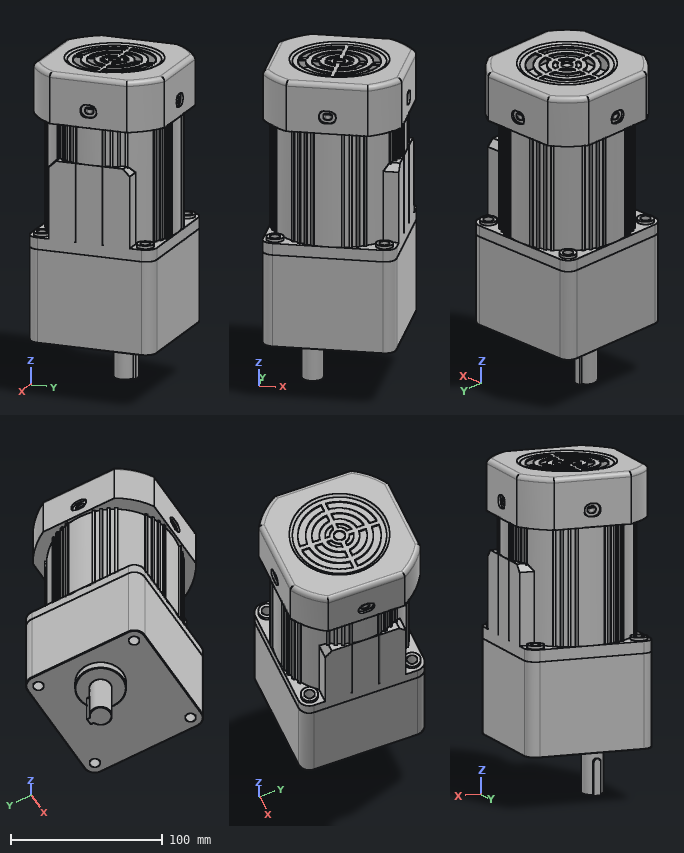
import cadquery as cq

total_height = 226.0
pilot_bottom = 31.0
gearbox_bottom = 37.0
flange_bottom = 102.0
flange_top = 110.0
cover_bottom = 190.5

frame_width = 90.0
frame_corner_radius = 8.0
edge_chamfer = 0.5
bolt_spacing = 73.5
bolt_hole_diameter = 7.0
bolt_pad_diameter = 11.5
bolt_pad_height = 2.0

shaft_offset = -18.0
shaft_diameter = 15.0
pilot_diameter = 34.0
key_width = 5.0
key_length = 25.0
key_reach = 9.0

barrel_radius = frame_width / 2
rib_height = 1.1
rib_width = 1.8
rib_pitch_angle = 6.3
ribs_per_group = 4
rib_groups = 8
group_pitch_angle = 360 / rib_groups

box_width = 57.9
box_top = 164.5
box_chamfer = 4.7

cover_width = 93.0
cover_corner_radius = 54.0
cover_fillet = 3.5
cover_wall = 2.7
cavity_floor = 203.0
recess_top_radius = 33.2
recess_floor_radius = 31.2
recess_depth = 1.1
grille_rings = [(6.5, 9.5), (13.3, 18.3), (22.4, 27.5)]
grille_hub_radius = 3.8
grille_spoke_width = 3.5
grille_thickness = 1.0
grille_bottom = total_height - recess_depth - grille_thickness

screw_height = 202.0
recess_slot_length = 11.5
recess_slot_width = 8.8
recess_slot_depth = 1.5
screw_slot_length = 6.0
screw_slot_width = 4.7
screw_slot_depth = 0.5
screw_tip_radius = 1.7
screw_tip_depth = 0.5


def square_frame(bottom, top):
    """Upright square block with rounded corners."""
    return (
        cq.Workplane("XY", origin=(0, 0, bottom))
        .rect(frame_width, frame_width)
        .extrude(top - bottom)
        .edges("|Z")
        .fillet(frame_corner_radius)
    )


def bolt_cylinders(diameter, bottom, top):
    """Four cylinders on the bolt pattern of the frame."""
    return (
        cq.Workplane("XY", origin=(0, 0, bottom))
        .rect(bolt_spacing, bolt_spacing, forConstruction=True)
        .vertices()
        .circle(diameter / 2)
        .extrude(top - bottom)
    )


def output_cylinder(diameter, bottom, top):
    """Cylinder on the output axis with its lower rim chamfered."""
    return (
        cq.Workplane("XY", origin=(shaft_offset, 0, bottom))
        .circle(diameter / 2)
        .extrude(top - bottom)
        .faces("<Z")
        .chamfer(edge_chamfer)
    )


def shaft_key():
    """Key on the +Y side of the shaft, round at its upper end."""
    straight_length = key_length - key_width / 2
    return (
        cq.Workplane("XZ", origin=(shaft_offset, 0, 0))
        .moveTo(-key_width / 2, 0)
        .lineTo(key_width / 2, 0)
        .lineTo(key_width / 2, straight_length)
        .threePointArc((0, key_length), (-key_width / 2, straight_length))
        .close()
        .extrude(-key_reach)
    )


def make_gearbox():
    """Gearbox with its pilot boss, output shaft and key."""
    body = square_frame(gearbox_bottom, flange_bottom).faces("<Z").chamfer(edge_chamfer)
    body = body.cut(bolt_cylinders(bolt_hole_diameter, gearbox_bottom, flange_bottom))
    body = body.union(output_cylinder(pilot_diameter, pilot_bottom, gearbox_bottom))
    body = body.union(output_cylinder(shaft_diameter, 0, pilot_bottom))
    return body.union(shaft_key())


def barrel_rib(angle):
    """One lengthwise rib on the barrel at the given angle."""
    rib_top_radius = barrel_radius + rib_height
    return (
        cq.Workplane("XY", origin=(0, 0, flange_top))
        .center(rib_top_radius / 2, 0)
        .rect(rib_top_radius, rib_width)
        .extrude(cover_bottom - flange_top)
        .rotate((0, 0, 0), (0, 0, 1), angle)
    )


def ribbed_barrel():
    """Round motor barrel with groups of ribs between plain arcs."""
    barrel = (
        cq.Workplane("XY", origin=(0, 0, flange_top))
        .circle(barrel_radius)
        .extrude(cover_bottom - flange_top)
    )
    for group in range(rib_groups):
        group_angle = (group + 0.5) * group_pitch_angle
        for index in range(ribs_per_group):
            step = index - (ribs_per_group - 1) / 2
            barrel = barrel.union(barrel_rib(group_angle + step * rib_pitch_angle))
    return barrel


def terminal_box():
    """Box from the motor axis to the +X side, its upper side edges chamfered."""
    box_length = frame_width / 2
    return (
        cq.Workplane("XY", origin=(box_length / 2, 0, flange_top))
        .rect(box_length, box_width)
        .extrude(box_top - flange_top)
        .edges("|X and >Z")
        .chamfer(box_chamfer)
    )


def make_motor():
    """Motor barrel with terminal box on a bolted flange."""
    pad_top = flange_top + bolt_pad_height
    body = square_frame(flange_bottom, flange_top)
    body = body.union(bolt_cylinders(bolt_pad_diameter, flange_top, pad_top))
    body = body.cut(bolt_cylinders(bolt_hole_diameter, flange_bottom, pad_top))
    return body.union(ribbed_barrel()).union(terminal_box())


def cover_prism(inset, bottom, top):
    """Square prism with large round corners, its sides set in from the cover outline."""
    base = cq.Workplane("XY", origin=(0, 0, bottom))
    width = cover_width - 2 * inset
    square = base.rect(width, width).extrude(top - bottom)
    return square.intersect(base.circle(cover_corner_radius - inset).extrude(top - bottom))


def cover_block():
    """Outer block of the cover with a rounded top rim."""
    return cover_prism(0, cover_bottom, total_height).faces(">Z").edges().fillet(cover_fillet)


def grille_recess():
    """Shallow recess with a sloping wall, sunk in the cover top."""
    floor_height = total_height - recess_depth
    return (
        cq.Workplane("XY", origin=(0, 0, floor_height))
        .circle(recess_floor_radius)
        .workplane(offset=recess_depth)
        .circle(recess_top_radius)
        .loft()
    )


def grille_openings():
    """Ring slots broken by a cross of spokes, around a round hub hole."""
    base = cq.Workplane("XY", origin=(0, 0, grille_bottom))
    spoke_length = 2 * recess_floor_radius
    spokes = base.rect(spoke_length, grille_spoke_width).extrude(grille_thickness)
    spokes = spokes.union(base.rect(grille_spoke_width, spoke_length).extrude(grille_thickness))
    openings = base.circle(grille_hub_radius).extrude(grille_thickness)
    for inner_radius, outer_radius in grille_rings:
        ring = base.circle(outer_radius).circle(inner_radius).extrude(grille_thickness)
        openings = openings.union(ring.cut(spokes))
    return openings


def screw_recess(angle):
    """Slot in a cover side with a smaller slot and a conical tip in its floor."""
    face = cover_width / 2
    slot_floor = face - recess_slot_depth
    screw_floor = slot_floor - screw_slot_depth
    outer_slot = (
        cq.Workplane("YZ", origin=(slot_floor, 0, screw_height))
        .slot2D(recess_slot_length, recess_slot_width)
        .extrude(recess_slot_depth)
    )
    screw_slot = (
        cq.Workplane("YZ", origin=(screw_floor, 0, screw_height))
        .slot2D(screw_slot_length, screw_slot_width)
        .extrude(screw_slot_depth)
    )
    tip = cq.Solid.makeCone(
        screw_tip_radius, 0, screw_tip_depth,
        pnt=cq.Vector(screw_floor, 0, screw_height), dir=cq.Vector(-1, 0, 0),
    )
    recess = outer_slot.union(screw_slot).union(cq.Workplane(obj=tip))
    return recess.rotate((0, 0, 0), (0, 0, 1), angle)


def make_fan_cover():
    """Hollow fan cover with top grille and one screw recess on each side."""
    cover = cover_block().cut(cover_prism(cover_wall, cavity_floor, grille_bottom))
    cover = cover.cut(grille_recess()).cut(grille_openings())
    for side in range(4):
        cover = cover.cut(screw_recess(side * 90))
    return cover


gearbox = make_gearbox()
motor = make_motor()
fan_cover = make_fan_cover()

result = cq.Compound.makeCompound([gearbox.solids().val(), motor.solids().val(), fan_cover.solids().val()])